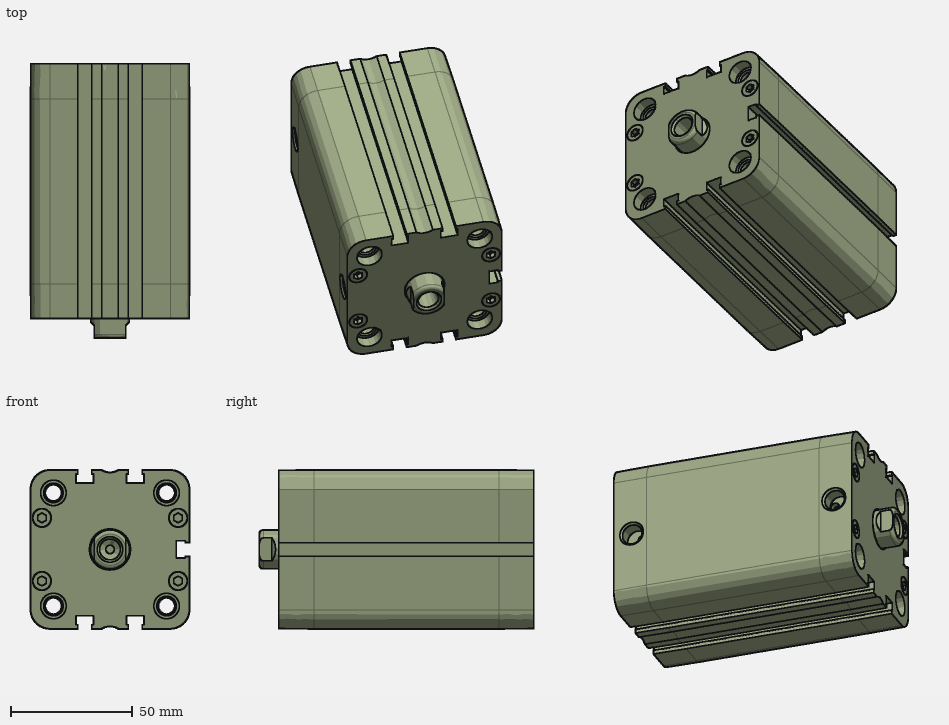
import cadquery as cq
import math

side = 65.5
housing_length = 105.0
rod_reach = 8.0
cap_length = 14.5
cap_draft = 0.6
corner_radius = 8.0
half_side = side / 2
rear_face = housing_length

slot_offset = 10.4
slot_neck_width = 5.6
slot_wide_width = 7.0
slot_lip = 1.8
slot_depth = 5.4

groove_width = 6.9
groove_depth = 1.0

mount_offset = 23.3
mount_hole = 6.7
mount_lead_in = 8.0
mount_counterbore = 10.5
mount_counterbore_depth = 5.0

screw_x = 28.0
screw_z = 13.0
screw_head = 7.5
screw_recess = 7.7
screw_gap_depth = 1.1
screw_socket = 3.5
screw_socket_depth = 2.5

port_inset = 7.9
port_bore = 8.6
port_mouth = 10.5
port_depth = 7.0
passage_diameter = 3.5
passage_shift = 2.1
passage_depth = 10.2

rod_diameter = 16.0
rod_opening = 16.5
rod_opening_mouth = 17.0
rod_opening_depth = 1.1
rod_fillet = 1.6
flat_width = 13.0
flat_start = 2.8
rod_bore = 8.6
rod_bore_mouth = 10.5
rod_bore_depth = 13.6
rod_bore_floor = 3.5
rod_bore_half_angle = 60
piston_diameter = 50.0

passage_inset = port_inset + passage_shift
piston_front = rear_face - cap_length
piston_rear = rear_face - 2 * passage_inset + cap_length


def along_y(start):
    """Workplane at Y = start whose extrusions run toward +Y, with local x = X and local y = -Z."""
    return cq.Workplane(cq.Plane(origin=(0, start, 0), xDir=(1, 0, 0), normal=(0, 1, 0)))


def turned(profile):
    """Solid of revolution about the Y axis from (radius, y) points."""
    return cq.Workplane("XY").polyline(profile).close().revolve(360, (0, 0, 0), (0, 1, 0))


def outline(plane):
    """Rounded square with a shallow round groove in the middle of its top and bottom edges."""
    groove_radius = (groove_width ** 2 / 4 + groove_depth ** 2) / (2 * groove_depth)
    groove_center = half_side - groove_depth + groove_radius
    square = cq.Sketch().rect(side, side).vertices().fillet(corner_radius)
    grooves = [(0, groove_center), (0, -groove_center)]
    return plane.placeSketch(square.reset().push(grooves).circle(groove_radius, mode="s").reset())


def envelope():
    """Straight tube between two caps that taper toward their outer faces."""
    tube = outline(along_y(cap_length)).extrude(housing_length - 2 * cap_length)
    rear_cap = outline(along_y(rear_face - cap_length)).extrude(cap_length, taper=cap_draft)
    front_cap = rear_cap.mirror("XZ", (0, housing_length / 2, 0))
    return tube.union(rear_cap).union(front_cap)


def top_slot(x):
    """T-slot along the full length of the top side: a narrow neck above a wider channel."""
    neck = along_y(0).center(x, -half_side).rect(slot_neck_width, 2 * slot_depth).extrude(housing_length)
    wide_height = slot_depth - slot_lip
    wide_z = half_side - slot_lip - wide_height / 2
    wide = along_y(0).center(x, -wide_z).rect(slot_wide_width, wide_height).extrude(housing_length)
    return neck.union(wide)


def mount_hole_cutter(x, z):
    """Through hole with a short lead-in cone below a counterbore in the front face."""
    lead_in_depth = (mount_lead_in - mount_hole) / 2
    lead_in_end = mount_counterbore_depth + lead_in_depth
    profile = [
        (0, 0),
        (mount_counterbore / 2, 0),
        (mount_counterbore / 2, mount_counterbore_depth),
        (mount_lead_in / 2, mount_counterbore_depth),
        (mount_hole / 2, lead_in_end),
        (mount_hole / 2, housing_length),
        (0, housing_length),
    ]
    return turned(profile).translate((x, 0, z))


def screw_cutter(x, z):
    """Ring gap around a flush screw head, plus its hexagon socket."""
    gap = along_y(0).circle(screw_recess / 2).circle(screw_head / 2).extrude(screw_gap_depth)
    across_corners = screw_socket / math.cos(math.pi / 6)
    socket = along_y(0).polygon(6, across_corners).extrude(screw_socket_depth)
    socket = socket.rotate((0, 0, 0), (0, 1, 0), 30)
    return gap.union(socket).translate((x, 0, z))


def port_cutter(y, toward_middle):
    """Chamfered port on the -X side with a narrower air passage, offset toward mid-length."""
    mouth_depth = (port_mouth - port_bore) / 2
    profile = [
        (0, 0),
        (port_mouth / 2, 0),
        (port_bore / 2, mouth_depth),
        (port_bore / 2, port_depth),
        (0, port_depth),
    ]
    port = turned(profile).rotate((0, 0, 0), (0, 0, 1), -90).translate((-half_side, y, 0))
    passage_y = y + toward_middle * passage_shift
    passage_plane = cq.Workplane("YZ", origin=(-half_side, passage_y, 0))
    passage = passage_plane.circle(passage_diameter / 2).extrude(passage_depth)
    return port.union(passage)


def rod_opening_cutter():
    """Clearance recess around the rod, chamfered at the front face."""
    mouth_depth = (rod_opening_mouth - rod_opening) / 2
    profile = [
        (0, 0),
        (rod_opening_mouth / 2, 0),
        (rod_opening / 2, mouth_depth),
        (rod_opening / 2, rod_opening_depth),
        (0, rod_opening_depth),
    ]
    return turned(profile)


def rod_blank():
    """Rod and piston as they fill the housing, without the tip details."""
    profile = [
        (0, -rod_reach),
        (rod_diameter / 2, -rod_reach),
        (rod_diameter / 2, piston_front),
        (piston_diameter / 2, piston_front),
        (piston_diameter / 2, piston_rear),
        (0, piston_rear),
    ]
    return turned(profile)


def flat_cutter():
    """Wedge that leaves a wrench flat on the +X side, running out at 45 degrees."""
    run_out = (rod_diameter - flat_width) / 2
    profile = [
        (flat_width / 2, -rod_reach),
        (flat_width / 2, -flat_start),
        (flat_width / 2 + run_out, run_out - flat_start),
        (flat_width / 2 + run_out, -rod_reach),
    ]
    return cq.Workplane("XY").polyline(profile).close().extrude(rod_diameter / 2, both=True)


def rod_bore_cutter():
    """Chamfered bore in the rod tip that narrows along a cone to a small flat floor."""
    mouth_end = (rod_bore_mouth - rod_bore) / 2
    cone_length = (rod_bore - rod_bore_floor) / 2 / math.tan(math.radians(rod_bore_half_angle))
    profile = [
        (0, 0),
        (rod_bore_mouth / 2, 0),
        (rod_bore / 2, mouth_end),
        (rod_bore / 2, rod_bore_depth - cone_length),
        (rod_bore_floor / 2, rod_bore_depth),
        (0, rod_bore_depth),
    ]
    return turned(profile).translate((0, -rod_reach, 0))


def make_housing():
    body = envelope()
    for x in (-slot_offset, slot_offset):
        slot = top_slot(x)
        body = body.cut(slot).cut(slot.mirror("XY"))
    body = body.cut(top_slot(0).rotate((0, 0, 0), (0, 1, 0), 90))
    for x_sign in (-1, 1):
        for z_sign in (-1, 1):
            body = body.cut(mount_hole_cutter(x_sign * mount_offset, z_sign * mount_offset))
            body = body.cut(screw_cutter(x_sign * screw_x, z_sign * screw_z))
    body = body.cut(port_cutter(port_inset, 1))
    body = body.cut(port_cutter(rear_face - port_inset, -1))
    return body.cut(rod_opening_cutter()).cut(rod_blank())


def make_rod():
    rod = rod_blank().faces("<Y").edges().fillet(rod_fillet)
    flat = flat_cutter()
    return rod.cut(flat).cut(flat.mirror("YZ")).cut(rod_bore_cutter())


housing = make_housing()
piston_rod = make_rod()
result = cq.Compound.makeCompound([housing.val(), piston_rod.val()])